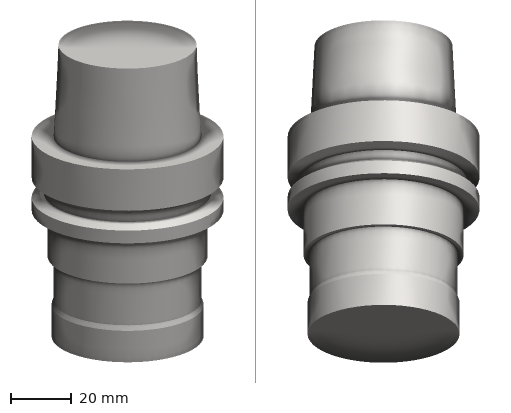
import cadquery as cq

total_height = 102.0
collar_top = 11.0
collar_chamfer_height = 1.7
neck_top = 28.0
shank_top = 44.1
flange_top = 70.0

groove_center = 52.0
groove_floor_width = 3.9
groove_bevel_height = 1.5

collar_diameter = 50.0
neck_diameter = 48.8
shank_diameter = 52.6
flange_diameter = 63.0
groove_diameter = 55.0
groove_lip_diameter = 57.7
taper_base_diameter = 48.6
taper_top_diameter = 45.4

collar_radius = collar_diameter / 2
neck_radius = neck_diameter / 2
shank_radius = shank_diameter / 2
flange_radius = flange_diameter / 2
groove_radius = groove_diameter / 2
groove_lip_radius = groove_lip_diameter / 2

groove_bottom = groove_center - groove_floor_width / 2
groove_top = groove_center + groove_floor_width / 2

half_section = [
    (0, 0),
    (collar_radius, 0),
    (collar_radius, collar_top),
    (neck_radius, collar_top + collar_chamfer_height),
    (neck_radius, neck_top),
    (shank_radius, neck_top),
    (shank_radius, shank_top),
    (flange_radius, shank_top),
    (flange_radius, groove_bottom - groove_bevel_height),
    (groove_lip_radius, groove_bottom),
    (groove_radius, groove_bottom),
    (groove_radius, groove_top),
    (groove_lip_radius, groove_top),
    (flange_radius, groove_top + groove_bevel_height),
    (flange_radius, flange_top),
    (taper_base_diameter / 2, flange_top),
    (taper_top_diameter / 2, total_height),
    (0, total_height),
]

result = cq.Workplane("XZ").polyline(half_section).close().revolve(360, (0, 0, 0), (0, 1, 0))